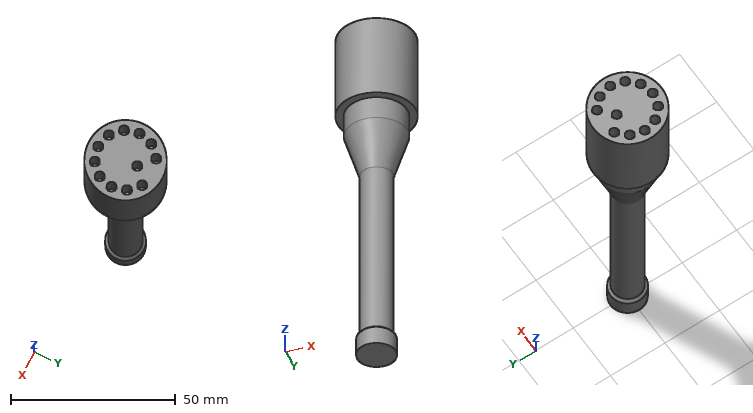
import cadquery as cq

total_length = 117.5
head_length = 28.0
collar_length = 7.5
taper_length = 15.0
tip_length = 6.0
tip_chamfer_height = 1.0

head_diameter = 25.0
collar_diameter = 20.0
shaft_diameter = 10.5
tip_diameter = 12.5

hole_diameter = 3.0
hole_depth = 10.0
ring_radius = 9.3
ring_positions = 12
key_hole_offset = 4.0

head_bottom = total_length - head_length
collar_bottom = head_bottom - collar_length
taper_bottom = collar_bottom - taper_length
shaft_bottom = tip_length + tip_chamfer_height


def turned_body():
    """Stepped round body, revolved about Z from its half profile."""
    head_radius = head_diameter / 2
    collar_radius = collar_diameter / 2
    shaft_radius = shaft_diameter / 2
    tip_radius = tip_diameter / 2
    half_profile = [
        (0, 0),
        (tip_radius, 0),
        (tip_radius, tip_length),
        (shaft_radius, shaft_bottom),
        (shaft_radius, taper_bottom),
        (collar_radius, collar_bottom),
        (collar_radius, head_bottom),
        (head_radius, head_bottom),
        (head_radius, total_length),
        (0, total_length),
    ]
    return cq.Workplane("XZ").polyline(half_profile).close().revolve(360, (0, 0), (0, 1))


def pin_holes():
    """Cutters for the pin holes: a ring with its +Y place left empty, and a key hole moved inward."""
    pitch_angle = 360 / ring_positions
    top_face = cq.Workplane("XY").workplane(offset=total_length)
    ring = (
        top_face
        .polarArray(ring_radius, 90 + pitch_angle, 360 - 2 * pitch_angle, ring_positions - 1)
        .circle(hole_diameter / 2)
        .extrude(-hole_depth)
    )
    key_hole = top_face.center(0, key_hole_offset).circle(hole_diameter / 2).extrude(-hole_depth)
    return ring.union(key_hole)


result = turned_body().cut(pin_holes())